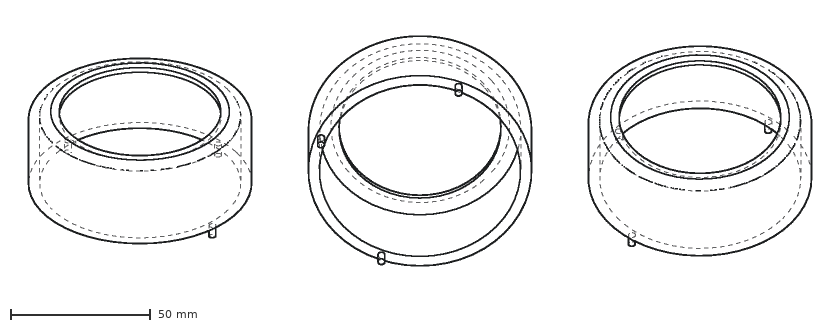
import cadquery as cq

outer_diameter = 80.0
bore_diameter = 72.0
opening_diameter = 57.9
top_face_diameter = 64.0
body_height = 30.5
bevel_height = 3.0
edge_radius = 1.0
lip_thickness = 2.0
selection_margin = 0.1

pin_diameter = 2.5
side_pin_length = 4.6
rear_pin_length = 4.8
pin_embed = 0.8

outer_radius = outer_diameter / 2
bore_radius = bore_diameter / 2
opening_radius = opening_diameter / 2
top_face_radius = top_face_diameter / 2
pin_circle_radius = (outer_radius + bore_radius) / 2


def make_body():
    """Bevelled ring with an inward lip above the bore."""
    bevel_base = body_height - bevel_height
    lip_underside = body_height - lip_thickness
    profile = (
        cq.Workplane("XZ")
        .moveTo(bore_radius, 0)
        .lineTo(outer_radius, 0)
        .lineTo(outer_radius, bevel_base)
        .lineTo(top_face_radius, body_height)
        .lineTo(opening_radius, body_height)
        .lineTo(opening_radius, lip_underside)
        .lineTo(bore_radius, lip_underside)
        .close()
    )
    ring = profile.revolve(360, (0, 0, 0), (0, 1, 0))
    reach = outer_radius + selection_margin
    shoulder = cq.selectors.BoxSelector(
        (-reach, -reach, bevel_base - selection_margin),
        (reach, reach, bevel_base + selection_margin),
        boundingbox=True,
    )
    return ring.edges(shoulder).fillet(edge_radius)


def make_pin(x, y, length):
    """Round pin hanging below the wall at (x, y)."""
    return (
        cq.Workplane("XY", origin=(x, y, -length))
        .circle(pin_diameter / 2)
        .extrude(length + pin_embed)
    )


result = make_body()
for side in (-1, 1):
    result = result.union(make_pin(side * pin_circle_radius, 0, side_pin_length))
result = result.union(make_pin(0, pin_circle_radius, rear_pin_length))